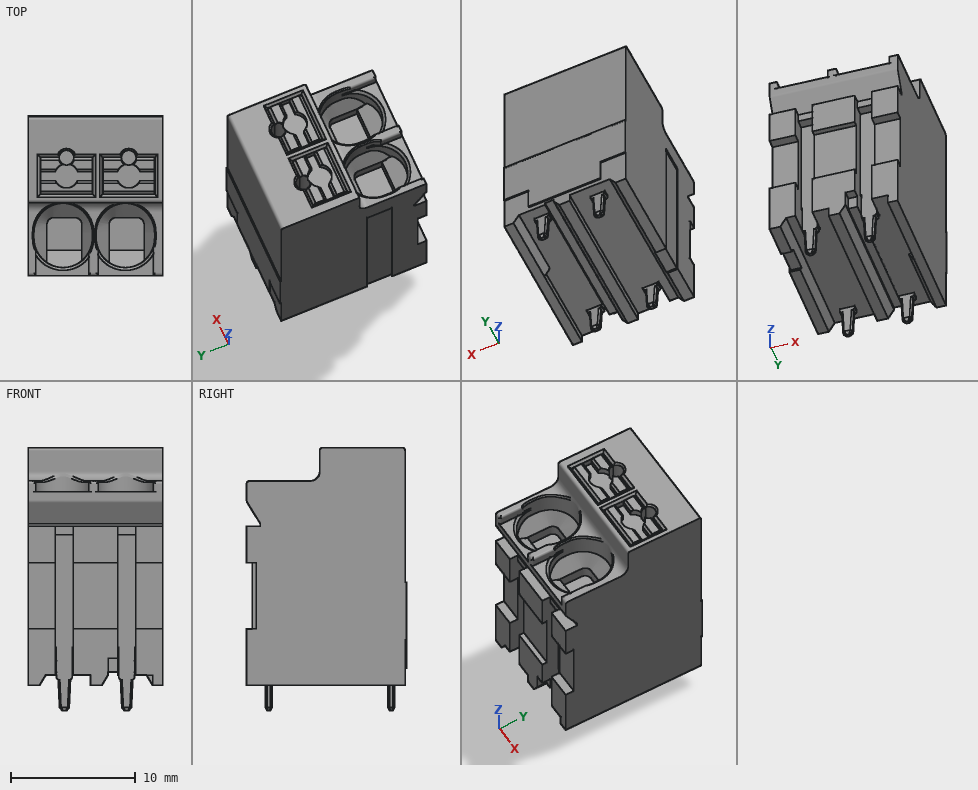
import cadquery as cq
import math

WIDTH = 10.8
DEPTH = 12.75
HEIGHT = 19.1
PITCH = 5.0
POLES = (-PITCH / 2, PITCH / 2)
LEFT = -WIDTH / 2
RIGHT = WIDTH / 2
TOLERANCE = 0.01
OVER = 1.0

STEP_HEIGHT = 16.43
TOWER_FRONT = 5.87
STEP_FILLET = 0.75
EDGE_ROUND = 0.25
NOSE_BOTTOM = 14.77
NOSE_FILLET = 0.36
UNDERCUT_TOP = 13.0
UNDERCUT_FLOOR = 12.8
UNDERCUT_DEPTH = 1.09

SLOT_WIDTH = 1.44
SLOT_TOP = 12.1
SLOT_UPPER_DEPTH = 0.75
WINDOW_BOTTOM = 4.55
WINDOW_TOP = 9.85
OUTER_WINDOW_DEPTH = 0.77
MIDDLE_WINDOW_DEPTH = 0.45

CEILING = 0.83
FOOT_SLOPE = 0.5
LEFT_FOOT_END = LEFT + 0.91
MIDDLE_FOOT_START = -0.41
MIDDLE_FOOT_END = LEFT_FOOT_END + PITCH
RIGHT_FOOT_START = MIDDLE_FOOT_START + PITCH
REAR_WEDGE_FRONT = 7.0
NOTCH_HEIGHT = 2.19
NOTCH_DEPTH = 0.75
NOTCH_CEILING = 1.06

SIDE_RECESS_FRONT = 3.03
SIDE_RECESS_BACK = 5.23
SIDE_RECESS_TOP = 14.24
SIDE_RECESS_DEPTH = 0.1
SIDE_RECESS_FOOT_LIFT = 0.2
PANEL_THICKNESS = 0.1
PANEL_TOP = 8.29
PANEL_STEP = 3.68
PANEL_BOTTOM = 1.36
PANEL_STEP_INSET = 2.2

FUNNEL_SHIFT = -0.1
FUNNEL_Y = 3.0
FUNNEL_RADIUS = 2.34
FUNNEL_STRETCH = 0.48
RIM_CHAMFER = 0.12
LIP_CHAMFER = 0.23
LIP_HEIGHT = 15.56
CONE_TOP = 14.6
CONE_BOTTOM = 13.5
WIRE_HOLE_WIDTH = 2.8
WIRE_HOLE_FRONT = 2.06
WIRE_HOLE_BACK = 4.67
WIRE_HOLE_CORNER = 0.55
CORNER_SWEEP = (20, 70)
WIRE_HOLE_FLOOR = 12.5
RAMP_RISE = 0.9
CHANNEL_LEFT_INSET = 0.16
CHANNEL_RIGHT_INSETS = (0.28, 0.09)
CHANNEL_ROUND = 0.18

BUTTON_SHIFT = 0.17
BUTTON_WIDTH = 4.12
BUTTON_FRONT = 6.53
BUTTON_BACK = 9.53
BUTTON_DROP = 0.1
BUTTON_LENGTH = 3.0
BUTTON_CHAMFER = 0.25
WELL_GAP = 0.06
WELL_CHAMFER = 0.22
GROOVE_FRONT = 7.62
GROOVE_BACK = 8.35
GROOVE_DEPTH = 0.6
GROOVE_CHAMFER = 0.19
SCOOP_Y = 8.02
SCOOP_RADIUS = 0.97
PROBE_Y = 9.48
PROBE_RADIUS = 0.59
PROBE_CHAMFER = 0.15
PROBE_DEPTH = BUTTON_DROP + BUTTON_LENGTH

LEG_THICKNESS = 0.54
FRONT_LEG_Y = 1.79
REAR_LEG_Y = 11.62
LEG_WIDTH = 1.28
LEG_WIDE_BOTTOM = 3.06
SHOULDER_TOP = 0.6
SHOULDER_BOTTOM = 0.45
BRIDGE_TOP = 2.0
TAIL_TOP_WIDTH = 1.0
TAIL_END_WIDTH = 0.8
TAIL_CHAMFER = 0.14
TAIL_END = -1.75
TIP_WIDTH = 0.32
TIP_THICKNESS = 0.24
TIP_CHAMFER = 0.06
TIP_END = -2.05

SLOT_DEPTH = FRONT_LEG_Y + LEG_THICKNESS / 2


def box(x0, x1, y0, y1, z0, z1):
    return cq.Workplane("XY").box(x1 - x0, y1 - y0, z1 - z0, centered=False).translate((x0, y0, z0))


def column(x, y, radius, z0, z1):
    return cq.Workplane("XY", origin=(x, y, z0)).circle(radius).extrude(z1 - z0)


def housing_block():
    """Side outline swept across the width: tower, step, nose and undercut."""
    block = (
        cq.Workplane("YZ", origin=(LEFT, 0, 0))
        .polyline([
            (0, 0),
            (DEPTH, 0),
            (DEPTH, HEIGHT),
            (TOWER_FRONT, HEIGHT),
            (TOWER_FRONT, STEP_HEIGHT),
            (0, STEP_HEIGHT),
            (0, NOSE_BOTTOM),
            (UNDERCUT_DEPTH, UNDERCUT_TOP),
            (UNDERCUT_DEPTH, UNDERCUT_FLOOR),
            (0, UNDERCUT_FLOOR),
        ])
        .close()
        .extrude(WIDTH)
    )

    def across(y, z):
        return cq.selectors.NearestToPointSelector((0, y, z))

    block = block.edges(across(TOWER_FRONT, STEP_HEIGHT)).fillet(STEP_FILLET)
    for y, z in ((DEPTH, HEIGHT), (TOWER_FRONT, HEIGHT), (0, STEP_HEIGHT)):
        block = block.edges(across(y, z)).fillet(EDGE_ROUND)
    return block.edges(across(0, NOSE_BOTTOM)).fillet(NOSE_FILLET)


def rib_windows():
    """Recesses across the faces of the three front ribs; the middle one is shallower."""
    windows = box(LEFT - OVER, RIGHT + OVER, -OVER, MIDDLE_WINDOW_DEPTH, WINDOW_BOTTOM, WINDOW_TOP)
    outer_ribs = ((LEFT - OVER, POLES[0]), (POLES[1], RIGHT + OVER))
    for x0, x1 in outer_ribs:
        windows = windows.union(box(x0, x1, -OVER, OUTER_WINDOW_DEPTH, WINDOW_BOTTOM, WINDOW_TOP))
    return windows


def front_slot(x):
    """Slot in front of a terminal: shallow at the top, full depth below."""
    x0 = x - SLOT_WIDTH / 2
    x1 = x + SLOT_WIDTH / 2
    upper = box(x0, x1, -OVER, SLOT_UPPER_DEPTH, SLOT_TOP, UNDERCUT_FLOOR)
    return upper.union(box(x0, x1, -OVER, SLOT_DEPTH, -OVER, SLOT_TOP))


def underside_channels():
    """Two channels running front to back that leave three feet standing."""
    def channel(points, y0, y1):
        return cq.Workplane("XZ", origin=(0, y0, 0)).polyline(points).close().extrude(y0 - y1)

    left = channel(
        [
            (LEFT_FOOT_END, 0),
            (LEFT_FOOT_END + FOOT_SLOPE, CEILING),
            (MIDDLE_FOOT_START, CEILING),
            (MIDDLE_FOOT_START, 0),
        ],
        0, DEPTH,
    )
    right = [
        (MIDDLE_FOOT_END, 0),
        (MIDDLE_FOOT_END + FOOT_SLOPE, CEILING),
    ]
    straight_side = [(RIGHT_FOOT_START, CEILING), (RIGHT_FOOT_START, 0)]
    wedge_side = [(RIGHT_FOOT_START - FOOT_SLOPE, CEILING), (RIGHT_FOOT_START, 0)]
    right_front = channel(right + straight_side, 0, REAR_WEDGE_FRONT)
    right_rear = channel(right + wedge_side, REAR_WEDGE_FRONT, DEPTH)
    return left.union(right_front).union(right_rear)


def foot_notch():
    """Notch beside the right slot: tall at the front, then a lower channel to the back."""
    x0 = MIDDLE_FOOT_END + FOOT_SLOPE
    x1 = POLES[1] - SLOT_WIDTH / 2
    front = box(x0, x1, -OVER, NOTCH_DEPTH, CEILING, NOTCH_HEIGHT)
    return front.union(box(x0, x1, 0, DEPTH, CEILING, NOTCH_CEILING))


def side_recess():
    recess = box(
        LEFT, LEFT + SIDE_RECESS_DEPTH, SIDE_RECESS_FRONT, SIDE_RECESS_BACK, 0, SIDE_RECESS_TOP
    )
    lift = box(
        LEFT, LEFT_FOOT_END + FOOT_SLOPE, SIDE_RECESS_FRONT, SIDE_RECESS_BACK, 0, SIDE_RECESS_FOOT_LIFT
    )
    return recess.union(lift)


def rear_panel():
    """Thin raised panel on the back, narrower in its lower part."""
    back = DEPTH + PANEL_THICKNESS
    upper = box(LEFT, RIGHT, DEPTH, back, PANEL_STEP, PANEL_TOP)
    inset_left = LEFT + PANEL_STEP_INSET
    inset_right = RIGHT - PANEL_STEP_INSET
    return upper.union(box(inset_left, inset_right, DEPTH, back, PANEL_BOTTOM, PANEL_STEP))


def stretched_circle(x, z, radius):
    """Closed outline of two half circles joined by short straight sides."""
    y0 = FUNNEL_Y
    y1 = FUNNEL_Y + FUNNEL_STRETCH
    return (
        cq.Workplane("XY", origin=(x, 0, z))
        .moveTo(radius, y0)
        .lineTo(radius, y1)
        .threePointArc((0, y1 + radius), (-radius, y1))
        .lineTo(-radius, y0)
        .threePointArc((0, y0 - radius), (radius, y0))
        .close()
    )


def funnel_well(pole_x, floor):
    return stretched_circle(pole_x + FUNNEL_SHIFT, floor, FUNNEL_RADIUS).extrude(HEIGHT - floor)


def chamfer_rim(block, pole_x):
    """Cut one funnel well into the plain block and chamfer the whole of its upper rim."""
    x = pole_x + FUNNEL_SHIFT
    pierced = block.cut(funnel_well(pole_x, CONE_TOP))

    def on_rim(edge):
        if edge.BoundingBox().zmin < STEP_HEIGHT - TOLERANCE:
            return False
        for end in edge.Vertices():
            straight_y = min(max(end.Y, FUNNEL_Y), FUNNEL_Y + FUNNEL_STRETCH)
            reach = math.hypot(end.X - x, end.Y - straight_y)
            if abs(reach - FUNNEL_RADIUS) > TOLERANCE:
                return False
        return True

    rim = [edge for edge in pierced.edges().vals() if on_rim(edge)]
    return pierced.newObject(rim).chamfer(RIM_CHAMFER)


def lip_chamfer(pole_x):
    """Cone that bevels the front of the well where it breaks through the lip."""
    x = pole_x + FUNNEL_SHIFT
    lower = stretched_circle(x, LIP_HEIGHT - LIP_CHAMFER, FUNNEL_RADIUS).wires().val()
    upper = stretched_circle(x, LIP_HEIGHT, FUNNEL_RADIUS + LIP_CHAMFER).wires().val()
    cone = cq.Workplane(cq.Solid.makeLoft([lower, upper], True))
    return cone.intersect(
        box(x - FUNNEL_RADIUS, x + FUNNEL_RADIUS, 0, FUNNEL_Y, CONE_TOP, LIP_HEIGHT)
    )


def lip_channel(pole_x, right_inset):
    """Channel from the well to the front, its walls rounded along the top and the front."""
    x0 = pole_x + FUNNEL_SHIFT - FUNNEL_RADIUS + CHANNEL_LEFT_INSET
    x1 = pole_x + FUNNEL_SHIFT + FUNNEL_RADIUS - right_inset
    r = CHANNEL_ROUND
    arc_middle = 1 - math.sqrt(0.5)

    def flared(plane, origin, start, mouth, length):
        """Straight-sided outline from `start` that flares by a round at `mouth`."""
        inward = math.copysign(r, start - mouth)
        return (
            cq.Workplane(plane, origin=origin)
            .moveTo(x0, start)
            .lineTo(x1, start)
            .lineTo(x1, mouth + inward)
            .threePointArc(
                (x1 + r * arc_middle, mouth + inward * arc_middle),
                (x1 + r, mouth),
            )
            .lineTo(x0 - r, mouth)
            .threePointArc(
                (x0 - r * arc_middle, mouth + inward * arc_middle),
                (x0, mouth + inward),
            )
            .close()
            .extrude(length)
        )

    top_rounded = flared("XZ", (0, 0, 0), LIP_HEIGHT, STEP_HEIGHT, -FUNNEL_Y)
    front_rounded = flared("XY", (0, 0, LIP_HEIGHT), FUNNEL_Y, 0, HEIGHT - LIP_HEIGHT)
    return top_rounded.union(front_rounded)


def funnel_taper(pole_x):
    """Taper from a horseshoe as wide as the well down to the width of the wire hole."""
    x = pole_x + FUNNEL_SHIFT
    radius = FUNNEL_RADIUS
    front = FUNNEL_Y - radius
    arc_y = FUNNEL_Y + FUNNEL_STRETCH
    half = WIRE_HOLE_WIDTH / 2
    corner = WIRE_HOLE_CORNER
    corner_y = WIRE_HOLE_BACK - corner

    start, end = CORNER_SWEEP
    middle = (start + end) / 2

    def on_arc(degrees):
        angle = math.radians(degrees)
        return (radius * math.cos(angle), arc_y + radius * math.sin(angle))

    horseshoe = (
        cq.Workplane("XY", origin=(x, 0, CONE_TOP))
        .moveTo(radius, front)
        .lineTo(radius, arc_y)
        .threePointArc(on_arc(start / 2), on_arc(start))
        .threePointArc(on_arc(middle), on_arc(end))
        .threePointArc(on_arc(90), on_arc(180 - end))
        .threePointArc(on_arc(180 - middle), on_arc(180 - start))
        .threePointArc(on_arc(180 - start / 2), on_arc(180))
        .lineTo(-radius, front)
        .close()
    )
    throat = (
        cq.Workplane("XY", origin=(pole_x, 0, CONE_BOTTOM))
        .moveTo(half, front)
        .lineTo(half, arc_y)
        .lineTo(half, corner_y)
        .radiusArc((half - corner, WIRE_HOLE_BACK), -corner)
        .lineTo(corner - half, WIRE_HOLE_BACK)
        .radiusArc((-half, corner_y), -corner)
        .lineTo(-half, arc_y)
        .lineTo(-half, front)
        .close()
    )
    taper = cq.Solid.makeLoft([throat.wires().val(), horseshoe.wires().val()], True)
    return cq.Workplane(taper).intersect(funnel_well(pole_x, CONE_BOTTOM))


def wire_hole(pole_x):
    """Square hole with rounded back corners."""
    half = WIRE_HOLE_WIDTH / 2
    hole = box(
        pole_x - half, pole_x + half, WIRE_HOLE_FRONT, WIRE_HOLE_BACK, WIRE_HOLE_FLOOR, CONE_BOTTOM
    )
    return hole.edges("|Z and >Y").fillet(WIRE_HOLE_CORNER)


def entry_ramp(pole_x):
    """Wedge left standing in the funnel, falling from its front wall to the wire hole."""
    return (
        cq.Workplane("YZ", origin=(pole_x - WIRE_HOLE_WIDTH / 2, 0, 0))
        .polyline([
            (WIRE_HOLE_FRONT, CONE_BOTTOM),
            (0, CONE_BOTTOM + RAMP_RISE),
            (0, CONE_BOTTOM),
        ])
        .close()
        .extrude(WIRE_HOLE_WIDTH)
    )


def button_well(x):
    """Rectangular well with a chamfered rim, plus the housing's half of the probe hole."""
    x0 = x - BUTTON_WIDTH / 2 - WELL_GAP
    x1 = x + BUTTON_WIDTH / 2 + WELL_GAP
    floor = HEIGHT - BUTTON_DROP - BUTTON_LENGTH
    well = box(x0, x1, BUTTON_FRONT, BUTTON_BACK, floor, HEIGHT)
    inner = cq.Workplane("XY", origin=(x, (BUTTON_FRONT + BUTTON_BACK) / 2, HEIGHT - WELL_CHAMFER))
    rim = (
        inner.rect(x1 - x0, BUTTON_BACK - BUTTON_FRONT)
        .workplane(offset=WELL_CHAMFER)
        .rect(x1 - x0 + 2 * WELL_CHAMFER, BUTTON_BACK - BUTTON_FRONT + 2 * WELL_CHAMFER)
        .loft(ruled=True)
    )
    return well.union(rim).union(probe_hole(x))


def probe_hole(x):
    """Round probe hole with a chamfered mouth, shared by the housing and the button."""
    hole = column(x, PROBE_Y, PROBE_RADIUS, HEIGHT - PROBE_DEPTH, HEIGHT)
    mouth = cq.Solid.makeCone(
        PROBE_RADIUS, PROBE_RADIUS + PROBE_CHAMFER, PROBE_CHAMFER,
        pnt=cq.Vector(x, PROBE_Y, HEIGHT - PROBE_CHAMFER), dir=cq.Vector(0, 0, 1),
    )
    return hole.union(cq.Workplane(mouth))


def make_housing(terminals):
    block = housing_block()
    body = block
    for pole_x, right_inset in zip(POLES, CHANNEL_RIGHT_INSETS):
        body = body.intersect(chamfer_rim(block, pole_x))
        body = body.cut(lip_channel(pole_x, right_inset)).cut(lip_chamfer(pole_x))
        body = body.cut(funnel_taper(pole_x).cut(entry_ramp(pole_x))).cut(wire_hole(pole_x))
    body = body.cut(rib_windows())
    body = body.cut(underside_channels()).cut(foot_notch()).cut(side_recess())
    body = body.union(rear_panel())
    for pole_x in POLES:
        body = body.cut(front_slot(pole_x))
        body = body.cut(button_well(pole_x + BUTTON_SHIFT))
    for terminal in terminals:
        body = body.cut(terminal)
    return body


def make_button(x):
    """Button with a cross groove, a round scoop at groove depth and the probe hole."""
    x0 = x - BUTTON_WIDTH / 2
    x1 = x + BUTTON_WIDTH / 2
    top = HEIGHT - BUTTON_DROP
    floor = top - GROOVE_DEPTH
    chamfer = GROOVE_CHAMFER
    button = box(x0, x1, BUTTON_FRONT, BUTTON_BACK, top - BUTTON_LENGTH, top)
    button = button.faces(">Z").edges("|X").chamfer(BUTTON_CHAMFER)
    groove = (
        cq.Workplane("YZ", origin=(x0, 0, 0))
        .polyline([
            (GROOVE_FRONT, floor),
            (GROOVE_BACK, floor),
            (GROOVE_BACK, top - chamfer),
            (GROOVE_BACK + chamfer, top),
            (GROOVE_FRONT - chamfer, top),
            (GROOVE_FRONT, top - chamfer),
        ])
        .close()
        .extrude(BUTTON_WIDTH)
    )
    scoop = column(x, SCOOP_Y, SCOOP_RADIUS, floor, top)
    return button.cut(groove).cut(scoop).cut(probe_hole(x))


def tail_section(x, y, z, width, thickness, chamfer):
    section = cq.Workplane("XY", origin=(x, y, z)).rect(width, thickness)
    return section.extrude(1).edges("|Z").chamfer(chamfer).faces("<Z").wires().val()


def solder_tail(x, y):
    """Tapering tail with bevelled edges and a blunt pointed tip."""
    top = tail_section(x, y, SHOULDER_BOTTOM, TAIL_TOP_WIDTH, LEG_THICKNESS, TAIL_CHAMFER)
    end = tail_section(x, y, TAIL_END, TAIL_END_WIDTH, LEG_THICKNESS, TAIL_CHAMFER)
    tip = tail_section(x, y, TIP_END, TIP_WIDTH, TIP_THICKNESS, TIP_CHAMFER)
    shank = cq.Workplane(cq.Solid.makeLoft([top, end], True))
    return shank.union(cq.Workplane(cq.Solid.makeLoft([end, tip], True)))


def leg(x, y, top):
    """Flat leg with sloping shoulders above its solder tail."""
    half = LEG_WIDTH / 2
    neck = TAIL_TOP_WIDTH / 2
    plate = (
        cq.Workplane("XZ", origin=(x, y + LEG_THICKNESS / 2, 0))
        .polyline([
            (-neck, SHOULDER_BOTTOM),
            (neck, SHOULDER_BOTTOM),
            (half, SHOULDER_TOP),
            (half, top),
            (-half, top),
            (-half, SHOULDER_TOP),
        ])
        .close()
        .extrude(LEG_THICKNESS)
    )
    return plate.union(solder_tail(x, y))


def make_terminal(x):
    """Tall front leg and short rear leg joined by a bridge inside the housing."""
    front = FRONT_LEG_Y - LEG_THICKNESS / 2
    wide = box(
        x - SLOT_WIDTH / 2, x + SLOT_WIDTH / 2, front, front + LEG_THICKNESS, LEG_WIDE_BOTTOM, SLOT_TOP
    )
    bridge = box(
        x - LEG_WIDTH / 2, x + LEG_WIDTH / 2, FRONT_LEG_Y, REAR_LEG_Y, NOTCH_CEILING, BRIDGE_TOP
    )
    terminal = leg(x, FRONT_LEG_Y, LEG_WIDE_BOTTOM).union(wide)
    return terminal.union(leg(x, REAR_LEG_Y, BRIDGE_TOP)).union(bridge)


terminals = [make_terminal(x) for x in POLES]
buttons = [make_button(x + BUTTON_SHIFT) for x in POLES]
housing = make_housing(terminals)

result = cq.Compound.makeCompound([
    housing.val(),
    *[button.val() for button in buttons],
    *[terminal.val() for terminal in terminals],
])